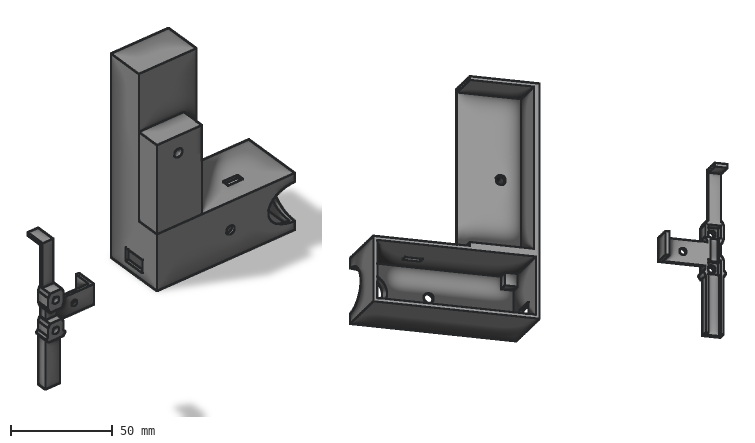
import cadquery as cq

wall = 2.0
wire_hole_diameter = 5.0

base_width = 36.8
base_length = 86.0
base_height = 34.0
upright_width = 22.4
upright_length = 36.0
housing_height = 121.9
upright_front_wall = 2.8

base_hole_y = 45.8
base_mid_z = base_height / 2
upright_hole_y = 13.4
upright_hole_z = 77.0

corner_bore_diameter = 23.5

window_x = 11.6
window_z = 4.4
window_width = 13.5
window_height = 7.9

slot_x = 20.8
slot_y = 53.5
slot_width = 4.4
slot_length = 9.2

boss_size = 6.5

block_length = 28.0
block_top = 87.2

clip_x = 111.1
clip_y = -127.3
clip_bottom = 41.2
clip_top = 126.0
hook_reach = 10.0
strap_half_width = 3.3

head_depth = 8.3
head_half_width = 4.8
head_end_half_width = 3.7
head_pocket_depth = 4.8
head_hole_diameter = 4.0
upper_head_top = 99.5
upper_head_shoulder = 97.3
upper_head_waist = 91.0
upper_head_bottom = 88.0
lower_head_top = 81.5
lower_head_shoulder = 79.3
lower_head_waist = 74.3
barb_tip_z = 72.8
barb_half_width = 6.0
lower_head_bottom = 70.8

bridge_depth = 4.4
bridge_slot_half_width = 2.2
bridge_slot_depth = 2.6

channel_depth = 5.7
channel_half_width = 4.5
channel_groove_depth = 3.3

arm_end_y = -98.6
arm_bottom = 75.8
arm_top = upper_head_bottom
arm_hole_diameter = 3.5
arm_hole_y = -111.0


def box(x, y, z):
    """Box given by its (low, high) limits along each axis."""
    return (
        cq.Workplane("XY")
        .box(x[1] - x[0], y[1] - y[0], z[1] - z[0], centered=False)
        .translate((x[0], y[0], z[0]))
    )


def clip_box(depth, half_width, z):
    """Box on the clip's centre plane, reaching from its flat face toward +X."""
    return box((clip_x, clip_x + depth), (clip_y - half_width, clip_y + half_width), z)


def x_bore(diameter, x, y, z):
    """Cylinder along X between the two x limits."""
    return (
        cq.Workplane("YZ", origin=(x[0], y, z)).circle(diameter / 2).extrude(x[1] - x[0])
    )


def upright_bore():
    """Wire hole that runs through the upright and on through the block."""
    return x_bore(wire_hole_diameter, (0, base_width), upright_hole_y, upright_hole_z)


def corner_bore():
    """Level cylinder crossing the base's rear +X edge at 45 degrees to both walls."""
    plane = cq.Plane(
        origin=(base_width, base_length, base_mid_z), xDir=(0, 0, 1), normal=(1, 1, 0)
    )
    return (
        cq.Workplane(plane)
        .circle(corner_bore_diameter / 2)
        .extrude(corner_bore_diameter, both=True)
    )


def make_housing():
    base = box((0, base_width), (0, base_length), (0, base_height))
    upright = box((0, upright_width), (0, upright_length), (base_height, housing_height))
    body = base.union(upright)

    base_cavity = box(
        (0, base_width - wall), (wall, base_length - wall), (wall, base_height - wall)
    )
    upright_cavity = box(
        (0, upright_width - wall),
        (upright_front_wall, upright_length),
        (base_height + wall, housing_height - wall),
    )
    window = box(
        (window_x, window_x + window_width),
        (0, wall),
        (window_z, window_z + window_height),
    )
    slot = box(
        (slot_x, slot_x + slot_width),
        (slot_y, slot_y + slot_length),
        (base_height - wall, base_height),
    )
    base_bore = x_bore(wire_hole_diameter, (0, base_width), base_hole_y, base_mid_z)
    openings = (base_cavity, upright_cavity, window, slot, base_bore, upright_bore(), corner_bore())
    for opening in openings:
        body = body.cut(opening)

    inner_x = base_width - wall
    inner_top = base_height - wall
    boss = box(
        (inner_x - boss_size, inner_x),
        (wall, wall + boss_size),
        (inner_top - boss_size, inner_top),
    )
    return body.union(boss)


def make_block():
    block = box((upright_width, base_width), (0, block_length), (base_height, block_top))
    return block.cut(upright_bore())


def clip_head(half_outline):
    """Prism along X whose (half width, z) outline is mirrored about the clip's centre plane."""
    left_side = [(clip_y + half_width, z) for half_width, z in half_outline]
    right_side = [(clip_y - half_width, z) for half_width, z in reversed(half_outline)]
    return (
        cq.Workplane("YZ", origin=(clip_x, 0, 0))
        .polyline(left_side + right_side)
        .close()
        .extrude(head_depth)
    )


def head_openings(bottom, top):
    """Pocket in a head's -X face between two heights, and the bore through its middle."""
    pocket = clip_box(head_pocket_depth, strap_half_width, (bottom, top))
    bore_x = (clip_x, clip_x + head_depth)
    bore = x_bore(head_hole_diameter, bore_x, clip_y, (bottom + top) / 2)
    return pocket, bore


def make_clip():
    upper_head = clip_head(
        [
            (head_end_half_width, upper_head_bottom),
            (head_half_width, upper_head_waist),
            (head_half_width, upper_head_shoulder),
            (head_end_half_width, upper_head_top),
        ]
    )
    lower_head = clip_head(
        [
            (channel_half_width, lower_head_bottom),
            (barb_half_width, barb_tip_z),
            (head_half_width, lower_head_waist),
            (head_half_width, lower_head_shoulder),
            (head_end_half_width, lower_head_top),
        ]
    )

    hook_x = clip_x - hook_reach
    strap = clip_box(wall, strap_half_width, (upper_head_shoulder, clip_top))
    strap_hook = box(
        (hook_x, clip_x + wall),
        (clip_y - strap_half_width, clip_y + strap_half_width),
        (clip_top - wall, clip_top),
    )
    bridge = clip_box(bridge_depth, strap_half_width, (lower_head_shoulder, upper_head_waist))
    channel = clip_box(channel_depth, channel_half_width, (clip_bottom, lower_head_shoulder))
    arm = box((clip_x, clip_x + wall), (clip_y, arm_end_y), (arm_bottom, arm_top))
    arm_hook = box((hook_x, clip_x + wall), (arm_end_y - wall, arm_end_y), (arm_bottom, arm_top))

    body = strap
    for piece in (strap_hook, upper_head, bridge, lower_head, channel, arm, arm_hook):
        body = body.union(piece)

    bridge_slot = clip_box(
        bridge_slot_depth, bridge_slot_half_width, (lower_head_shoulder, upper_head_waist)
    )
    groove = clip_box(channel_groove_depth, strap_half_width, (clip_bottom, barb_tip_z))
    arm_mid_z = (arm_bottom + arm_top) / 2
    arm_bore = x_bore(arm_hole_diameter, (clip_x, clip_x + wall), arm_hole_y, arm_mid_z)
    openings = (
        bridge_slot,
        groove,
        arm_bore,
        *head_openings(upper_head_waist, upper_head_shoulder),
        *head_openings(barb_tip_z, lower_head_shoulder),
    )
    for opening in openings:
        body = body.cut(opening)
    return body


housing = make_housing()
block = make_block()
clip = make_clip()

result = cq.Compound.makeCompound([housing.val(), block.val(), clip.val()])